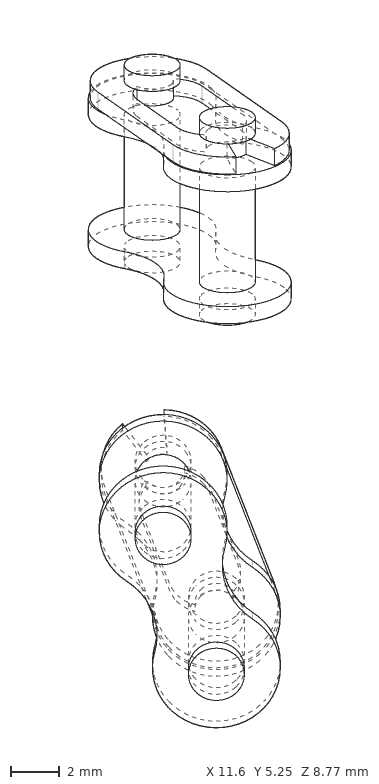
import cadquery as cq
import math

length = 11.61
plate_width = 5.25
height = 8.77
plate_radius = plate_width / 2
pin_x = length / 2 - plate_radius

pin_radius = 1.15
neck_radius = 0.88
pin_end = 0.7

sheet_thickness = 0.75
waist_joint_x = 1.66

clip_radius = 2.54
slot_radius = 1.51
slot_center_x = 1.68
mouth_angle = 15.8
mouth_apex_x = 2.37

lower_plate_z = -height / 2 + pin_end
clip_top_z = height / 2 - pin_end
clip_z = clip_top_z - sheet_thickness
upper_plate_z = clip_z - sheet_thickness


def cylinders(radius, bottom, top):
    """A pair of cylinders on the two pin axes."""
    return (
        cq.Workplane("XY", origin=(0, 0, bottom))
        .pushPoints([(-pin_x, 0), (pin_x, 0)])
        .circle(radius)
        .extrude(top - bottom)
    )


def rounded_bar(center_x, radius):
    """A straight-sided sheet with round ends, at the clip level."""
    return (
        cq.Workplane("XY", origin=(0, 0, clip_z))
        .slot2D(2 * (center_x + radius), 2 * radius)
        .extrude(sheet_thickness)
    )


def link_plate(bottom):
    """Two round ends joined by concave arcs that are tangent to them."""
    offset_x = pin_x - waist_joint_x
    joint_y = math.sqrt(plate_radius**2 - offset_x**2)
    waist_center_y = joint_y * pin_x / offset_x
    waist_radius = math.hypot(pin_x, waist_center_y) - plate_radius
    waist_y = waist_center_y - waist_radius
    return (
        cq.Workplane("XY", origin=(0, 0, bottom))
        .moveTo(-waist_joint_x, -joint_y)
        .threePointArc((0, -waist_y), (waist_joint_x, -joint_y))
        .threePointArc((length / 2, 0), (waist_joint_x, joint_y))
        .threePointArc((0, waist_y), (-waist_joint_x, joint_y))
        .threePointArc((-length / 2, 0), (-waist_joint_x, -joint_y))
        .close()
        .extrude(sheet_thickness)
    )


def spring_clip():
    """Rounded clip with a central slot, neck seats and a flared mouth at +X."""
    mouth_end_x = length / 2
    mouth_half_width = (mouth_end_x - mouth_apex_x) * math.tan(math.radians(mouth_angle))
    mouth = (
        cq.Workplane("XY", origin=(0, 0, clip_z))
        .moveTo(mouth_apex_x, 0)
        .lineTo(mouth_end_x, -mouth_half_width)
        .lineTo(mouth_end_x, mouth_half_width)
        .close()
        .extrude(sheet_thickness)
    )
    return (
        rounded_bar(pin_x, clip_radius)
        .cut(rounded_bar(slot_center_x, slot_radius))
        .cut(cylinders(neck_radius, clip_z, clip_top_z))
        .cut(mouth)
    )


shanks = cylinders(pin_radius, -height / 2, clip_z)
necks = cylinders(neck_radius, clip_z, clip_top_z)
heads = cylinders(pin_radius, clip_top_z, height / 2)

result = (
    shanks.union(necks)
    .union(heads)
    .union(link_plate(lower_plate_z))
    .union(link_plate(upper_plate_z))
    .union(spring_clip())
)